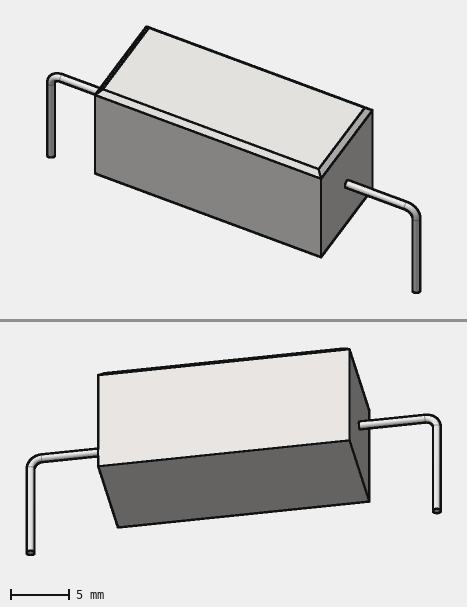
import cadquery as cq

body_length = 22.0
body_width = 9.5
body_height = 10.0
top_chamfer = 0.5

overall_length = 36.24
wire_diameter = 0.7
wire_height = 4.75
lead_drop = 5.0
bend_radius = 1.0

wire_radius = wire_diameter / 2
pin_x = overall_length / 2 - wire_radius
body_end_x = body_length / 2


def make_body():
    """Block with all four top edges chamfered."""
    block = cq.Workplane("XY").box(body_length, body_width, body_height, centered=(True, True, False))
    return block.faces(">Z").edges().chamfer(top_chamfer)


def make_lead():
    """Wire swept out of the +X end face, around the bend and down to the tip."""
    path = (
        cq.Workplane("XZ")
        .moveTo(body_end_x, wire_height)
        .lineTo(pin_x - bend_radius, wire_height)
        .tangentArcPoint((pin_x, wire_height - bend_radius), relative=False)
        .lineTo(pin_x, -lead_drop)
    )
    section = cq.Workplane("YZ", origin=(body_end_x, 0, wire_height)).circle(wire_radius)
    return section.sweep(path)


right_lead = make_lead()
left_lead = right_lead.mirror("YZ")
result = make_body().union(right_lead).union(left_lead)